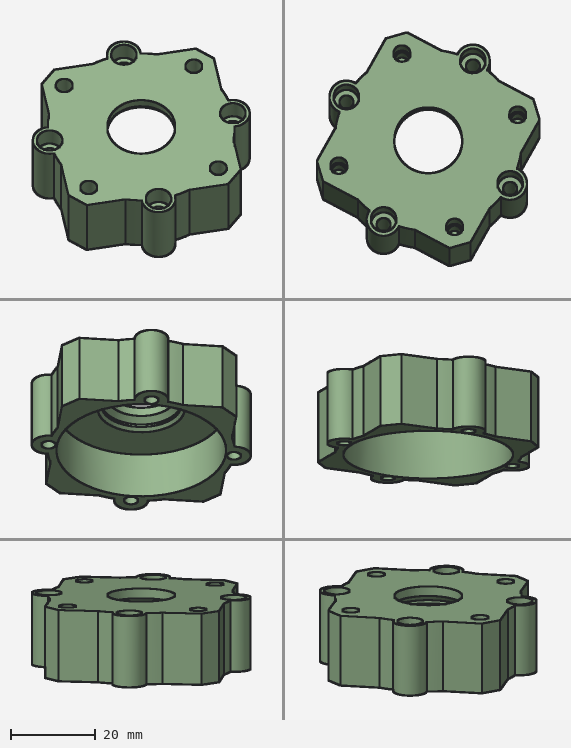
import cadquery as cq
import math

width = 53.15
height = 17.1
flat_half_width = 2.6
round_radius = 22.0

ear_offset = 15.5
bolt_circle_radius = ear_offset * math.sqrt(2)
ear_diameter = 8.0
ear_bore_diameter = 3.3
counterbore_diameter = 6.0
counterbore_depth = 5.0

pocket_diameter = 4.0
pocket_depth = 5.0
pilot_diameter = 3.2
pilot_depth = 10.0

bore_diameter = 16.0
bore_depth = 2.35
groove_radius = 9.45
groove_land = 0.25
throat_radius = 9.35
throat_taper_height = 0.5
mouth_radius = 10.25
cavity_diameter = 40.0


def quarter_turns(radius, start_angle):
    """Four points spaced evenly on a circle."""
    angles = [math.radians(start_angle + 90 * turn) for turn in range(4)]
    return [(radius * math.cos(a), radius * math.sin(a)) for a in angles]


ear_points = quarter_turns(bolt_circle_radius, 45)
corner_points = quarter_turns(bolt_circle_radius, 0)


def make_body():
    """Square standing on its corner, corners cut flat, joined with a disc and four ears."""
    half = width / 2
    flat = flat_half_width
    outline = [
        (half, -flat), (half, flat), (flat, half), (-flat, half),
        (-half, flat), (-half, -flat), (-flat, -half), (flat, -half),
    ]
    square = cq.Workplane("XY").polyline(outline).close().extrude(height)
    disc = cq.Workplane("XY").circle(round_radius).extrude(height)
    ears = cq.Workplane("XY").pushPoints(ear_points).circle(ear_diameter / 2).extrude(height)
    return square.union(disc).union(ears)


def make_central_opening():
    """Bore flaring at 45 degrees to a groove, then to a mouth that opens into the round cavity below."""
    bore_radius = bore_diameter / 2
    cavity_radius = cavity_diameter / 2
    groove_top = bore_depth + groove_radius - bore_radius
    groove_bottom = groove_top + groove_land
    throat = groove_bottom + throat_taper_height
    ceiling = throat + mouth_radius - throat_radius
    profile = [
        (0, 0),
        (bore_radius, 0),
        (bore_radius, bore_depth),
        (groove_radius, groove_top),
        (groove_radius, groove_bottom),
        (throat_radius, throat),
        (mouth_radius, ceiling),
        (cavity_radius, ceiling),
        (cavity_radius, height),
        (0, height),
    ]
    points = [(radius, height - depth) for radius, depth in profile]
    return cq.Workplane("XZ").polyline(points).close().revolve(360, (0, 0), (0, 1))


def holes_from_top(points, diameter, depth):
    """Cylinders reaching down from the top face."""
    top = cq.Workplane("XY").workplane(offset=height)
    return top.pushPoints(points).circle(diameter / 2).extrude(-depth)


result = (
    make_body()
    .cut(make_central_opening())
    .cut(holes_from_top(ear_points, ear_bore_diameter, height))
    .cut(holes_from_top(ear_points, counterbore_diameter, counterbore_depth))
    .cut(holes_from_top(corner_points, pilot_diameter, pilot_depth))
    .cut(holes_from_top(corner_points, pocket_diameter, pocket_depth))
)